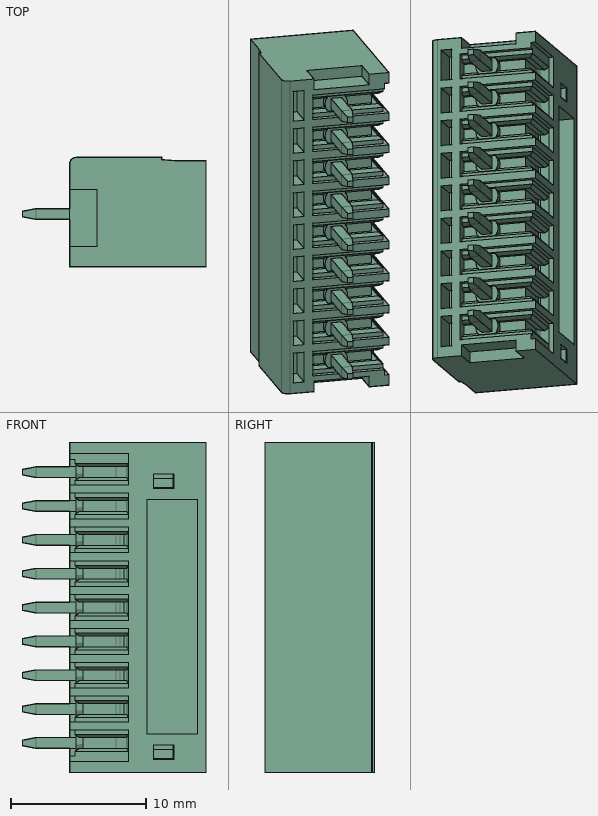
import cadquery as cq


HEIGHT = 24.4
LENGTH = 10.1
DEPTH = 8.1
BACK_EDGE_RADIUS = 0.51
BACK_STEP_X = 6.83
BACK_STEP_DROP = 0.17
BACK_RAMP_LENGTH = 0.98
BACK_FULL_DROP = 0.25

NOTCH_LENGTH = 2.05
NOTCH_HEIGHT = 0.83
NOTCH_Y_MIN = 1.51
NOTCH_Y_MAX = 5.73

PIN_COUNT = 9
PIN_SPAN = 20.0
PIN_LENGTH = 3.5
PIN_WIDTH = 0.8
PIN_Y = 3.9
PIN_TIP_LENGTH = 1.0
PIN_TIP_WIDTH = 0.41
BOSS_RADIUS = 0.85
BOSS_FACE_X = 0.5

SLOT_LENGTH = 4.37
SLOT_Y_MAX = 5.83
RECESS_HEIGHT = 1.9
RECESS_FROM_FRONT = 0.35
RECESS_FROM_SIDE = 0.41
END_RECESS_EXTRA = 0.41
CHANNEL_HEIGHT = 0.8
CHAMFER_WIDTH = 0.22
CHAMFER_DEPTH = 0.3
CHANNEL_FROM_FRONT = 1.07
CHANNEL_FROM_SIDE = 1.0
CHANNEL_END_RADIUS = 0.93

RELIEF_SLOTS = range(2, 8)
RELIEF_X_MAX = 4.03
RELIEF_Y_MAX = 1.02

POCKET_Y_MIN = 6.5
POCKET_Y_MAX = 7.32
POCKET_DEPTH = NOTCH_LENGTH

FRONT_CENTRE_Z = -0.68
WINDOW_X_MIN = 5.73
WINDOW_X_MAX = 9.45
WINDOW_HEIGHT = 17.32
WINDOW_DEPTH = 1.35
LATCH_X_MIN = 6.22
LATCH_X_MAX = 7.7
LATCH_HEIGHT = 1.07
LATCH_SPACING = 20.03
LATCH_CHAMFER = 0.07
LATCH_WALL = 0.7
LATCH_FLOOR_DROP = 0.1
LATCH_DEPTH = 1.95
LATCH_TOP_BAND = 0.35
LATCH_TOP_DEPTH = 2.2

OVERCUT = 0.25

PIN_HEIGHTS = [PIN_SPAN / 2 - i * PIN_SPAN / (PIN_COUNT - 1) for i in range(PIN_COUNT)]


def block(x_range, y_range, z_range):
    """Box spanning the given (min, max) ranges."""
    spans = (x_range, y_range, z_range)
    sizes = [high - low for low, high in spans]
    corner = tuple(low for low, high in spans)
    return cq.Workplane("XY").box(*sizes, centered=False).translate(corner)


def around(centre, size):
    """(min, max) range of a given size about a centre."""
    return (centre - size / 2, centre + size / 2)


def housing():
    """Outer body with its rounded and stepped back face."""
    outline = (
        cq.Workplane("XY")
        .moveTo(0, 0)
        .lineTo(LENGTH, 0)
        .lineTo(LENGTH, DEPTH - BACK_FULL_DROP)
        .lineTo(BACK_STEP_X + BACK_RAMP_LENGTH, DEPTH - BACK_FULL_DROP)
        .lineTo(BACK_STEP_X, DEPTH - BACK_STEP_DROP)
        .lineTo(BACK_STEP_X, DEPTH)
        .lineTo(BACK_EDGE_RADIUS, DEPTH)
        .radiusArc((0, DEPTH - BACK_EDGE_RADIUS), -BACK_EDGE_RADIUS)
        .close()
    )
    return outline.extrude(HEIGHT / 2, both=True)


def end_notches():
    """Cutter for the notches at both Z ends of the -X edge."""
    notches = cq.Workplane("XY")
    for end_z in (-HEIGHT / 2, HEIGHT / 2):
        notches = notches.union(
            block((-OVERCUT, NOTCH_LENGTH), (NOTCH_Y_MIN, NOTCH_Y_MAX), around(end_z, 2 * NOTCH_HEIGHT))
        )
    return notches


def end_stretched_range(index):
    """Z range of a recess, stretched towards the housing end at the first and last pin."""
    low, high = around(PIN_HEIGHTS[index], RECESS_HEIGHT)
    if index == 0:
        high += END_RECESS_EXTRA
    if index == PIN_COUNT - 1:
        low -= END_RECESS_EXTRA
    return (low, high)


def recesses(index):
    """Cutter for the shallow recesses and the blind pocket at one pin."""
    plain = around(PIN_HEIGHTS[index], RECESS_HEIGHT)
    stretched = end_stretched_range(index)
    front = block((-OVERCUT, SLOT_LENGTH), (-OVERCUT, RECESS_FROM_FRONT), stretched)
    side = block((-OVERCUT, RECESS_FROM_SIDE), (0, SLOT_Y_MAX), plain)
    pocket = block((-OVERCUT, POCKET_DEPTH), (POCKET_Y_MIN, POCKET_Y_MAX), stretched)
    return front.union(side).union(pocket)


def mouth_wedge(plane, face, length):
    """Chamfered channel mouth narrowing inwards from a recess floor, swept along the plane normal."""
    half_mouth = CHANNEL_HEIGHT / 2 + CHAMFER_WIDTH
    wedge = (
        cq.Workplane(plane)
        .moveTo(face, -half_mouth)
        .lineTo(face + CHAMFER_DEPTH, -CHANNEL_HEIGHT / 2)
        .lineTo(face + CHAMFER_DEPTH, CHANNEL_HEIGHT / 2)
        .lineTo(face, half_mouth)
        .close()
    )
    return wedge.extrude(length)


def channel_footprint(height):
    """L-shaped channel outline with a rounded +X end, extruded to a height centred on Z = 0."""
    outline = (
        cq.Workplane("XY")
        .moveTo(0, 0)
        .lineTo(SLOT_LENGTH, 0)
        .lineTo(SLOT_LENGTH, CHANNEL_FROM_FRONT - CHANNEL_END_RADIUS)
        .radiusArc((SLOT_LENGTH - CHANNEL_END_RADIUS, CHANNEL_FROM_FRONT), -CHANNEL_END_RADIUS)
        .lineTo(CHANNEL_FROM_SIDE, CHANNEL_FROM_FRONT)
        .lineTo(CHANNEL_FROM_SIDE, SLOT_Y_MAX)
        .lineTo(0, SLOT_Y_MAX)
        .close()
    )
    return outline.extrude(height / 2, both=True)


def channel():
    """Cutter for one channel at Z = 0, with mouths chamfered along the -Y and -X recesses."""
    front_mouth = mouth_wedge("YZ", RECESS_FROM_FRONT, SLOT_LENGTH - RECESS_FROM_SIDE)
    front_mouth = front_mouth.translate((RECESS_FROM_SIDE, 0, 0))
    side_mouth = mouth_wedge("XZ", RECESS_FROM_SIDE, SLOT_Y_MAX - RECESS_FROM_FRONT)
    side_mouth = side_mouth.translate((0, SLOT_Y_MAX, 0))
    mouths = front_mouth.union(side_mouth)
    mouths = mouths.intersect(channel_footprint(CHANNEL_HEIGHT + 2 * CHAMFER_WIDTH))
    return channel_footprint(CHANNEL_HEIGHT).union(mouths)


def channel_relief():
    """Cutter squaring part of the rounded channel end, at Z = 0."""
    return block((CHANNEL_FROM_SIDE, RELIEF_X_MAX), (0, RELIEF_Y_MAX), around(0, CHANNEL_HEIGHT))


def pin():
    """Square pin with a tapered tip and a round boss at its root, at Z = 0."""
    shank_end = PIN_TIP_LENGTH - PIN_LENGTH
    shank = block((shank_end, CHANNEL_FROM_SIDE), around(PIN_Y, PIN_WIDTH), around(0, PIN_WIDTH))
    tip = (
        cq.Workplane("YZ", origin=(shank_end, PIN_Y, 0))
        .rect(PIN_WIDTH, PIN_WIDTH)
        .workplane(offset=-PIN_TIP_LENGTH)
        .rect(PIN_TIP_WIDTH, PIN_TIP_WIDTH)
        .loft()
    )
    boss = (
        cq.Workplane("YZ", origin=(BOSS_FACE_X, PIN_Y, 0))
        .circle(BOSS_RADIUS)
        .extrude(CHANNEL_FROM_SIDE - BOSS_FACE_X)
    )
    return shank.union(tip).union(boss)


def front_window():
    """Cutter for the long shallow window on the -Y face."""
    return block(
        (WINDOW_X_MIN, WINDOW_X_MAX),
        (-OVERCUT, WINDOW_DEPTH),
        around(FRONT_CENTRE_Z, WINDOW_HEIGHT),
    )


def latch_opening(centre_z):
    """Cutter for a latch opening: chamfered mouth, lower floor inside, deeper band at the top."""
    low, high = around(centre_z, LATCH_HEIGHT)
    x_inner = LATCH_X_MAX - LATCH_CHAMFER
    z_inner = low + LATCH_CHAMFER
    mouth = (
        cq.Workplane("XZ")
        .moveTo(LATCH_X_MIN, low)
        .lineTo(LATCH_X_MAX, low)
        .lineTo(LATCH_X_MAX, high)
        .lineTo(LATCH_X_MIN, high)
        .close()
        .workplane(offset=-LATCH_CHAMFER)
        .moveTo(LATCH_X_MIN, z_inner)
        .lineTo(x_inner, z_inner)
        .lineTo(x_inner, high)
        .lineTo(LATCH_X_MIN, high)
        .close()
        .loft(ruled=True)
    )
    x_range = (LATCH_X_MIN, x_inner)
    throat = block(x_range, (0, LATCH_WALL), (z_inner, high))
    chamber = block(x_range, (LATCH_WALL, LATCH_DEPTH), (z_inner - LATCH_FLOOR_DROP, high))
    top_band = block(x_range, (LATCH_WALL, LATCH_TOP_DEPTH), (high - LATCH_TOP_BAND, high))
    return mouth.union(throat).union(chamber).union(top_band)


body = housing().cut(end_notches()).cut(front_window())

for latch_offset in (-LATCH_SPACING / 2, LATCH_SPACING / 2):
    body = body.cut(latch_opening(FRONT_CENTRE_Z + latch_offset))

for index, pin_z in enumerate(PIN_HEIGHTS):
    cavity = channel()
    if index in RELIEF_SLOTS:
        cavity = cavity.union(channel_relief())
    body = body.cut(recesses(index)).cut(cavity.translate((0, 0, pin_z)))
    body = body.union(pin().translate((0, 0, pin_z)))

result = body